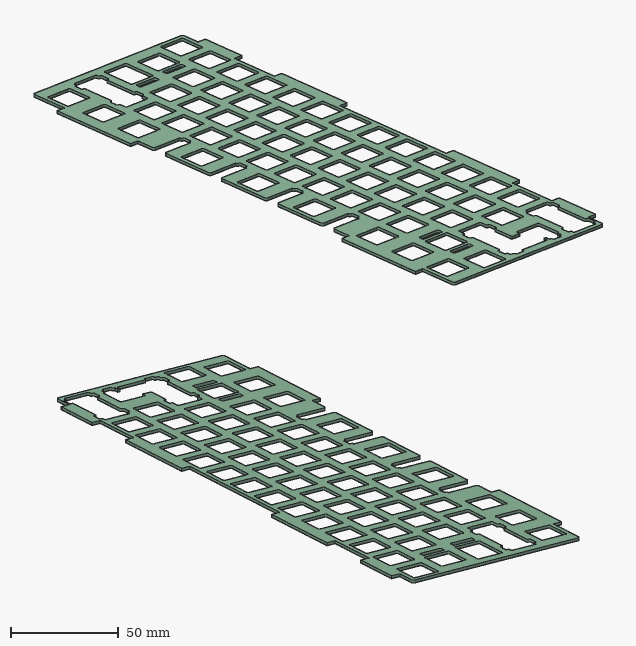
import cadquery as cq


UNIT = 19.05
GRID_COLUMNS = 15
GRID_ROWS = 5
EDGE_CLEARANCE = 0.1

THICKNESS = 1.5
PLATE_LENGTH = GRID_COLUMNS * UNIT - 2 * EDGE_CLEARANCE
PLATE_WIDTH = GRID_ROWS * UNIT - 2 * EDGE_CLEARANCE
PLATE_CORNER_RADIUS = 1.0

TOLERANCE = 0.01

OVERALL_WIDTH = 104.25
TAB_DEPTH = (OVERALL_WIDTH - PLATE_WIDTH) / 2
TOP_TAB_SPANS = [(-132.3, -107.5), (-80.5, -36.0), (36.0, 81.0), (107.8, 132.6)]
BOTTOM_TAB_SPANS = [(-121.6, -71.7), (71.7, 121.6)]

SWITCH = 14.0
SWITCH_CORNER_RADIUS = 0.5

STAB_BODY_WIDTH = 7.3
STAB_BODY_LENGTH = SWITCH
STAB_NECK_WIDTH = 5.0
STAB_JOINT_RADIUS = 0.5
STAB_NECK_RADIUS = 0.5
STAB_MOUTH_RADIUS = 1.0
STAB_NECK_LENGTH = 17.0
STAB_SPREAD_2U = 11.94
STAB_SPREAD_3U = UNIT
STAB_SPREAD_7U = 3 * UNIT

SLOT_WIDTH = 3.0
SLOT_LENGTH = 12.0
SLOT_OFFSET = 10.5
SLOT_CORNER_RADIUS = 0.5

NUMBER_ROW, TAB_ROW, CAPS_ROW, SHIFT_ROW, SPACE_ROW = range(GRID_ROWS)
TALL_ENTER_ROW = (TAB_ROW + CAPS_ROW) / 2
TAB_KEY = 0.75
BACKSLASH_KEY = 14.25
CAPS_KEY = 0.875
STEPPED_CAPS_KEY = 0.625
ENTER_KEY = 13.875
TALL_ENTER_KEY = 14.375
KEY_BESIDE_TALL_ENTER = 13.25
LEFT_SHIFT_KEY = 1.125
SHORT_SHIFT_KEY = 0.625
KEY_BESIDE_SHORT_SHIFT = 1.75
RIGHT_SHIFT_KEY = 13.125
LAST_SHIFT_ROW_KEY = 14.5
BACKSPACE_KEY = 14.0
SPLIT_BACKSPACE_KEYS = (13.5, 14.5)
SPACE_KEY = 7.5


def key_run(first_column, count):
    """Centres of neighbouring one-unit keys."""
    return [first_column + i for i in range(count)]


SWITCH_COLUMNS = {
    NUMBER_ROW: key_run(0.5, 13),
    TAB_ROW: [TAB_KEY] + key_run(2.0, 12) + [BACKSLASH_KEY],
    CAPS_ROW: key_run(2.25, 11),
    SHIFT_ROW: key_run(2.75, 10) + [RIGHT_SHIFT_KEY, LAST_SHIFT_ROW_KEY],
    SPACE_ROW: [0.75, 2.0, 3.25, 5.5, SPACE_KEY, 9.5, 11.75, 13.0, 14.25],
}


def key_x(column):
    return (column - GRID_COLUMNS / 2) * UNIT


def key_y(row):
    return ((GRID_ROWS - 1) / 2 - row) * UNIT


def block(x_min, x_max, y_min, y_max, corner_radius=0):
    """Full-thickness block between the given limits, with optional rounded upright edges."""
    length = x_max - x_min
    width = y_max - y_min
    solid = cq.Workplane("XY").box(length, width, THICKNESS, centered=(True, True, False))
    if corner_radius:
        solid = solid.edges("|Z").fillet(corner_radius)
    return solid.translate(((x_min + x_max) / 2, (y_min + y_max) / 2, 0))


def centred_block(x, y, length, width, corner_radius=0):
    return block(x - length / 2, x + length / 2, y - width / 2, y + width / 2, corner_radius)


def switch_span(first_column, last_column, row):
    """One opening reaching from the switch at the first column to the one at the last."""
    return block(
        key_x(first_column) - SWITCH / 2,
        key_x(last_column) + SWITCH / 2,
        key_y(row) - SWITCH / 2,
        key_y(row) + SWITCH / 2,
        SWITCH_CORNER_RADIUS,
    )


def stabilizer(x, y):
    body = centred_block(x, y, STAB_BODY_WIDTH, STAB_BODY_LENGTH)
    neck = centred_block(x, y, STAB_NECK_WIDTH, STAB_NECK_LENGTH, STAB_NECK_RADIUS)
    joints = cq.selectors.BoxSelector(
        (x - STAB_NECK_WIDTH / 2 - TOLERANCE, y - STAB_BODY_LENGTH / 2 - TOLERANCE, -TOLERANCE),
        (x + STAB_NECK_WIDTH / 2 + TOLERANCE, y + STAB_BODY_LENGTH / 2 + TOLERANCE, THICKNESS + TOLERANCE),
    )
    return body.union(neck).edges("|Z").edges(joints).fillet(STAB_JOINT_RADIUS)


def stabilizer_pair(column, row, spread):
    x, y = key_x(column), key_y(row)
    return stabilizer(x - spread, y).union(stabilizer(x + spread, y))


def make_plate():
    plate = centred_block(0, 0, PLATE_LENGTH, PLATE_WIDTH, PLATE_CORNER_RADIUS)
    tab_reach = PLATE_WIDTH / 2 + TAB_DEPTH
    for x_min, x_max in TOP_TAB_SPANS:
        plate = plate.union(block(x_min, x_max, key_y(NUMBER_ROW) + SWITCH / 2, tab_reach))
    for x_min, x_max in BOTTOM_TAB_SPANS:
        plate = plate.union(block(x_min, x_max, -tab_reach, key_y(SPACE_ROW) - SWITCH / 2))
    return plate


def single_openings():
    return [
        switch_span(column, column, row)
        for row, columns in SWITCH_COLUMNS.items()
        for column in columns
    ]


def wide_openings():
    """Openings that serve either one wide key or two smaller ones."""
    return [
        switch_span(*SPLIT_BACKSPACE_KEYS, NUMBER_ROW),
        stabilizer_pair(BACKSPACE_KEY, NUMBER_ROW, STAB_SPREAD_2U),
        switch_span(STEPPED_CAPS_KEY, CAPS_KEY, CAPS_ROW),
        switch_span(SHORT_SHIFT_KEY, KEY_BESIDE_SHORT_SHIFT, SHIFT_ROW),
        stabilizer_pair(LEFT_SHIFT_KEY, SHIFT_ROW, STAB_SPREAD_2U),
    ]


def enter_openings():
    """Merged opening for a wide Enter key and a tall one with upright stabilizers."""
    x, y = key_x(TALL_ENTER_KEY), key_y(TALL_ENTER_ROW)
    upright_pair = stabilizer(STAB_SPREAD_2U, 0).union(stabilizer(-STAB_SPREAD_2U, 0))
    upright_pair = upright_pair.rotate((0, 0, 0), (0, 0, 1), 90).translate((x, y, 0))
    tall_switch = block(
        x - SWITCH / 2, x + SWITCH / 2, key_y(CAPS_ROW) - SWITCH / 2, y + SWITCH / 2, SWITCH_CORNER_RADIUS
    )
    return [
        switch_span(KEY_BESIDE_TALL_ENTER, TALL_ENTER_KEY, CAPS_ROW),
        stabilizer_pair(ENTER_KEY, CAPS_ROW, STAB_SPREAD_2U),
        upright_pair,
        tall_switch,
    ]


def space_bar_channel(x):
    """Channel from the stabilizer out through the front edge, with rounded corners at its mouth."""
    front = -PLATE_WIDTH / 2
    half_width = STAB_BODY_WIDTH / 2
    half_mouth = half_width + STAB_MOUTH_RADIUS
    corner_y = front + STAB_MOUTH_RADIUS
    channel = (
        cq.Workplane("XY")
        .moveTo(x - half_mouth, front)
        .radiusArc((x - half_width, corner_y), -STAB_MOUTH_RADIUS)
        .lineTo(x - half_width, key_y(SPACE_ROW))
        .lineTo(x + half_width, key_y(SPACE_ROW))
        .lineTo(x + half_width, corner_y)
        .radiusArc((x + half_mouth, front), -STAB_MOUTH_RADIUS)
        .close()
    )
    return channel.extrude(THICKNESS)


def space_bar_openings():
    """Stabilizer openings that run out through the front edge of the plate."""
    openings = []
    for spread in (STAB_SPREAD_3U, STAB_SPREAD_7U):
        openings.append(stabilizer_pair(SPACE_KEY, SPACE_ROW, spread))
        for offset in (-spread, spread):
            openings.append(space_bar_channel(key_x(SPACE_KEY) + offset))
    return openings


def relief_slots():
    places = [
        (TAB_KEY, TAB_ROW, 1),
        (CAPS_KEY, CAPS_ROW, 1),
        (RIGHT_SHIFT_KEY, SHIFT_ROW, -1),
        (RIGHT_SHIFT_KEY, SHIFT_ROW, 1),
    ]
    return [
        centred_block(
            key_x(column) + side * SLOT_OFFSET, key_y(row), SLOT_WIDTH, SLOT_LENGTH, SLOT_CORNER_RADIUS
        )
        for column, row, side in places
    ]


openings = single_openings() + wide_openings() + enter_openings() + space_bar_openings() + relief_slots()
pierced_plate = make_plate().val().cut(*[opening.val() for opening in openings]).clean()
result = cq.Workplane("XY").newObject(pierced_plate.Solids())